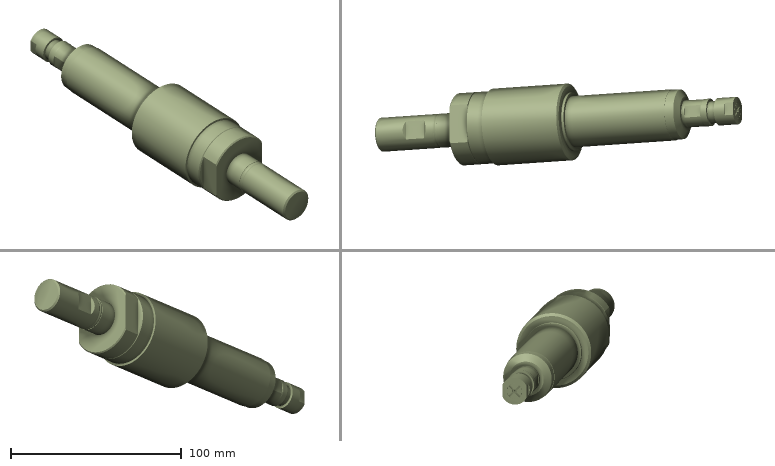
import cadquery as cq
import math

length = 224.2

tip_dia = 16.1
tip_groove_dia = 13.0
tip_groove_start = 11.9
tip_groove_end = 16.5

wrench_dia = 16.0
wrench_start = 20.0
wrench_end = 31.2
wrench_taper = 0.7

nose_start = 32.3
nose_face_dia = 20.6
nose_cone_dia = 29.2
nose_back_dia = 29.5
nose_cone_angle = 60
barrel_start = 40.1
barrel_dia = 30.0

collar_start = 102.7
collar_dia = 34.5
collar_face_dia = 34.0
collar_chamfer = 0.5
body_start = 104.3
body_end = 152.0
body_dia = 45.0
body_face_dia = 42.0
body_chamfer = 1.0

ring_dia = 42.4
nut_start = 162.5
nut_end = 174.0
nut_across_flats = 35.9
edge_chamfer = 0.7

shaft_dia = 20.0
seal_start = 185.2
seal_taper_end = 186.1
seal_groove_start = 186.3
seal_groove_end = 188.1
seal_depth = 0.2
shaft_chamfer = 1.0

tip_across_flats = 14.4
tip_flat_length = 5.2
wrench_flat_start = 20.6
wrench_flat_end = 30.5

clamp_start = 192.2
clamp_end = 206.5
clamp_depth = 1.5

insert_dia = 9.0
insert_gap = 0.11
insert_depth = 1.1
jaw_slot_width = 1.0
jaw_slot_angles = (45, -45)
jaw_bore_dia = 3.0
pilot_dia = 1.0
pilot_depth = 2.2


def turned_body():
    """Revolve the half outline given as (x, diameter) steps."""
    nose_cone_height = (nose_cone_dia - nose_face_dia) / 2
    nose_cone_end = nose_start + nose_cone_height / math.tan(math.radians(nose_cone_angle))
    ring_face_dia = ring_dia - 2 * edge_chamfer
    seal_groove_middle = (seal_groove_start + seal_groove_end) / 2
    seal_dia = shaft_dia - 2 * seal_depth
    steps = [
        (0, 0),
        (0, tip_dia),
        (tip_groove_start, tip_dia),
        (tip_groove_start, tip_groove_dia),
        (tip_groove_end, tip_groove_dia),
        (tip_groove_end, tip_dia),
        (wrench_start, tip_dia),
        (wrench_start + wrench_taper, wrench_dia),
        (wrench_end - wrench_taper, wrench_dia),
        (wrench_end, tip_dia),
        (nose_start, tip_dia),
        (nose_start, nose_face_dia),
        (nose_cone_end, nose_cone_dia),
        (barrel_start, nose_back_dia),
        (barrel_start, barrel_dia),
        (collar_start, barrel_dia),
        (collar_start, collar_face_dia),
        (collar_start + collar_chamfer, collar_dia),
        (body_start - collar_chamfer, collar_dia),
        (body_start, collar_face_dia),
        (body_start, body_face_dia),
        (body_start + body_chamfer, body_dia),
        (body_end, body_dia),
        (body_end, ring_dia),
        (nut_start - edge_chamfer, ring_dia),
        (nut_start, ring_face_dia),
        (nut_start, ring_dia),
        (nut_end - edge_chamfer, ring_dia),
        (nut_end, ring_face_dia),
        (nut_end, shaft_dia),
        (seal_start, shaft_dia),
        (seal_start, seal_dia),
        (seal_taper_end, shaft_dia),
        (seal_groove_start, shaft_dia),
        (seal_groove_middle, seal_dia),
        (seal_groove_end, shaft_dia),
        (length - shaft_chamfer, shaft_dia),
        (length, shaft_dia - 2 * shaft_chamfer),
        (length, 0),
    ]
    outline = [(x, dia / 2) for x, dia in steps]
    return cq.Workplane("XY").polyline(outline).close().revolve(360, (0, 0, 0), (1, 0, 0))


def flat_pair_cutter(x_start, x_end, across_flats):
    """Material outside two flats facing +Y and -Y."""
    cutter = cq.Workplane("XY")
    for side in (1, -1):
        slab = cq.Workplane("XY").box(
            x_end - x_start, body_dia, body_dia, centered=(False, True, True)
        )
        cutter = cutter.add(slab.translate((x_start, side * (across_flats + body_dia) / 2, 0)))
    return cutter.combine()


def clamp_cutter():
    """Trapezoid prism that leaves the clamping flat."""
    top = shaft_dia / 2
    floor = top - clamp_depth
    outline = [
        (clamp_start, top),
        (clamp_start + clamp_depth, floor),
        (clamp_end - clamp_depth, floor),
        (clamp_end, top),
    ]
    return cq.Workplane("XY").polyline(outline).close().extrude(shaft_dia / 2, both=True)


def jaw_cutter():
    """Ring gap, stepped centre bore and crossed slots that outline the four jaws."""
    face = cq.Workplane("YZ")
    insert = face.circle(insert_dia / 2).extrude(insert_depth)
    cutter = face.circle(insert_dia / 2 + insert_gap).extrude(insert_depth).cut(insert)
    cutter = cutter.union(face.circle(jaw_bore_dia / 2).extrude(insert_depth))
    cutter = cutter.union(face.circle(pilot_dia / 2).extrude(pilot_depth))
    for angle in jaw_slot_angles:
        slot = face.rect(insert_dia, jaw_slot_width).extrude(insert_depth)
        cutter = cutter.union(slot.rotate((0, 0, 0), (1, 0, 0), angle))
    return cutter


result = (
    turned_body()
    .cut(flat_pair_cutter(0, tip_flat_length, tip_across_flats))
    .cut(flat_pair_cutter(wrench_flat_start, wrench_flat_end, tip_across_flats))
    .cut(flat_pair_cutter(nut_start, nut_end, nut_across_flats))
    .cut(clamp_cutter())
    .cut(jaw_cutter())
)